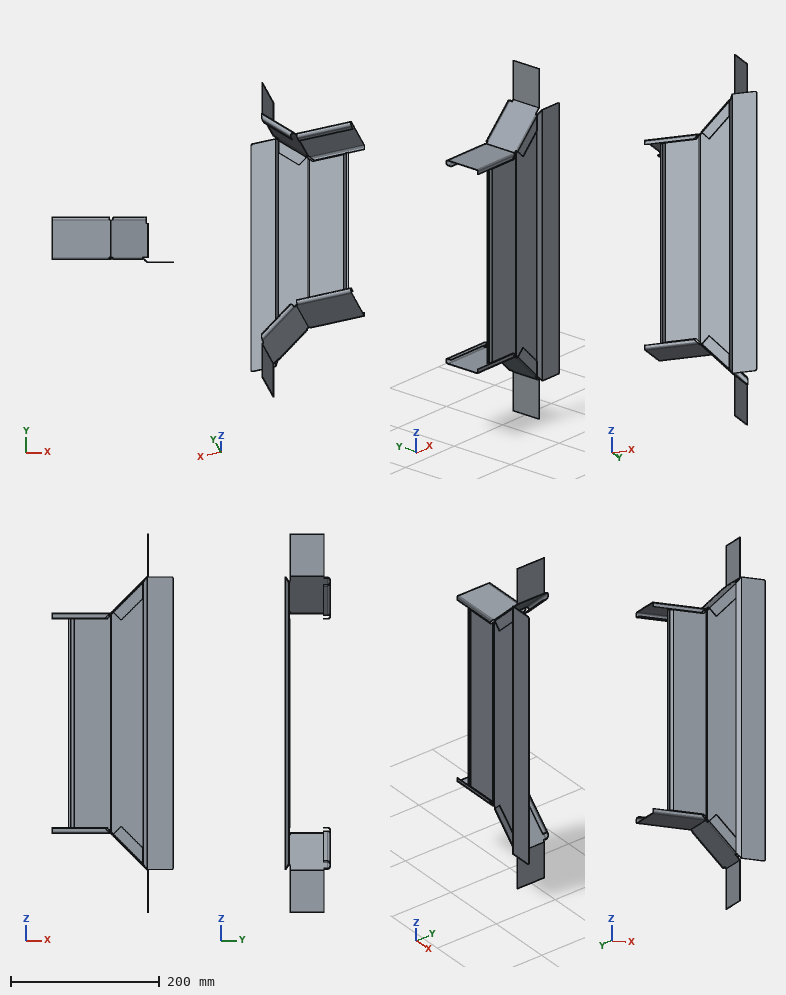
import cadquery as cq
import math

sheet = 1.0
total_height = 508.5
total_width = 163.0
total_depth = 61.5

leg_top_z = 148.0
leg_bend_x = -3.0
tab_x = 47.0
tab_near_y = 7.0
tab_far_y = 53.0
flange_bend_radius = 2.0
flat_flange_depth = 6.5
rising_flange_depth = 17.0
rising_flange_end_x = 40.0
rear_hem_end_x = 45.0
hem_diameter = 8.0
hem_return_y = 52.0
flat_lip_end_x = -4.5
lip_corner_chamfer = 5.5
rising_lip_start = 3.5

ledge_drop = 5.0
lip_step = 2.0
web_left_x = -59.5
lip_step_start_x = -56.5
lip_step_end_x = -52.0
joggle_length = 1.5
ramp_start_x = 40.5
web_ledge_x = 46.0
ledge_top_z = 196.5
ledge_corner_radius = 3.0
flange_gap = 1.0

left_x = -total_width / 2
right_x = total_width / 2
main_face_y = ledge_drop
flange_front_y = main_face_y - sheet
flange_bend_y = flange_front_y + flange_bend_radius
hem_radius = hem_diameter / 2
hem_bend_y = total_depth - hem_radius
tab_base_z = leg_top_z + tab_x - leg_bend_x


def offset_path(points, distance):
    """Offset an open polyline to its right-hand side, mitring each corner."""
    angles = [
        math.atan2(q[1] - p[1], q[0] - p[0]) for p, q in zip(points, points[1:])
    ]
    before = [angles[0]] + angles
    after = angles + [angles[-1]]
    moved = []
    for (x, y), a, b in zip(points, before, after):
        middle = (a + b) / 2
        reach = distance / math.cos((b - a) / 2)
        moved.append((x + reach * math.sin(middle), y - reach * math.cos(middle)))
    return moved


def sheet_outline(points, side):
    """Closed outline of a sheet whose one face follows the points."""
    return points + offset_path(points, side * sheet)[::-1]


def leg_section(plane, flange_depth):
    """Cross-section of a leg: front flange, plate and rolled rear hem.

    Across is Y; upward is measured from the outer face of the plate.
    """
    inner_bend = flange_bend_radius - sheet
    inner_hem = hem_radius - sheet
    diagonal = math.sqrt(0.5)
    return (
        cq.Workplane(plane)
        .moveTo(flange_front_y, -flange_depth)
        .lineTo(flange_front_y, -flange_bend_radius)
        .threePointArc(
            (
                flange_bend_y - flange_bend_radius * diagonal,
                -flange_bend_radius * (1 - diagonal),
            ),
            (flange_bend_y, 0),
        )
        .lineTo(hem_bend_y, 0)
        .threePointArc((total_depth, -hem_radius), (hem_bend_y, -hem_diameter))
        .lineTo(hem_return_y, -hem_diameter)
        .lineTo(hem_return_y, -hem_diameter + sheet)
        .lineTo(hem_bend_y, -hem_diameter + sheet)
        .threePointArc((hem_bend_y + inner_hem, -hem_radius), (hem_bend_y, -sheet))
        .lineTo(flange_bend_y, -sheet)
        .threePointArc(
            (
                flange_bend_y - inner_bend * diagonal,
                -flange_bend_radius + inner_bend * diagonal,
            ),
            (flange_front_y + sheet, -flange_bend_radius),
        )
        .lineTo(flange_front_y + sheet, -flange_depth)
        .close()
    )


def box_beyond(start_x, near_y, far_y):
    """Block of full height that reaches from start_x to the right end of the part."""
    return cq.Workplane("XY").box(
        right_x - start_x, far_y - near_y, total_height, centered=(False, False, True)
    ).translate((start_x, near_y, 0))


def make_flat_leg():
    plane = cq.Plane(origin=(left_x, 0, leg_top_z), xDir=(0, 1, 0), normal=(1, 0, 0))
    leg = leg_section(plane, flat_flange_depth).extrude(flat_lip_end_x - left_x)
    bottom_z = leg_top_z - flat_flange_depth
    corner = (
        cq.Workplane("XZ")
        .moveTo(flat_lip_end_x, bottom_z)
        .lineTo(flat_lip_end_x - lip_corner_chamfer, bottom_z)
        .lineTo(flat_lip_end_x, bottom_z + lip_corner_chamfer)
        .close()
        .extrude(-flange_bend_y)
    )
    return leg.cut(corner)


def make_rising_leg():
    start = rising_lip_start * math.sqrt(0.5)
    plane = cq.Plane(
        origin=(leg_bend_x + start, 0, leg_top_z + start), xDir=(0, 1, 0), normal=(1, 0, 1)
    )
    leg_length = (tab_x - leg_bend_x) * math.sqrt(2)
    leg = leg_section(plane, rising_flange_depth).extrude(leg_length - rising_lip_start)
    beyond_flange = box_beyond(rising_flange_end_x, 0, tab_near_y)
    beyond_hem = box_beyond(rear_hem_end_x, hem_return_y, total_depth)
    return leg.cut(beyond_flange).cut(beyond_hem)


def make_bracket():
    leg_path = [
        (flat_lip_end_x - lip_corner_chamfer, leg_top_z),
        (leg_bend_x, leg_top_z),
        (tab_x, tab_base_z),
        (tab_x, total_height / 2),
    ]
    strip = (
        cq.Workplane("XZ", origin=(0, tab_near_y, 0))
        .polyline(sheet_outline(leg_path, 1))
        .close()
        .extrude(tab_near_y - hem_bend_y)
    )
    strip = strip.cut(box_beyond(rear_hem_end_x, tab_far_y, total_depth))
    return strip.union(make_flat_leg()).union(make_rising_leg())


def make_web():
    front_path = [
        (web_left_x, flange_front_y + lip_step),
        (lip_step_start_x, flange_front_y + lip_step),
        (lip_step_end_x, flange_front_y),
        (leg_bend_x, flange_front_y),
        (leg_bend_x + joggle_length, main_face_y),
        (ramp_start_x, main_face_y),
        (web_ledge_x, 0),
        (right_x, 0),
    ]
    folded = (
        cq.Workplane("XY")
        .polyline(sheet_outline(front_path, -1))
        .close()
        .extrude(ledge_top_z, both=True)
    )
    left_edge_z = leg_top_z - flat_flange_depth - flange_gap
    bend_edge_z = leg_top_z - flange_bend_radius * math.sqrt(2)
    notch_x = leg_bend_x - (bend_edge_z - left_edge_z)
    ramp_edge_z = bend_edge_z + ramp_start_x - leg_bend_x
    upper = [
        (web_left_x, left_edge_z),
        (notch_x, left_edge_z),
        (ramp_start_x, ramp_edge_z),
        (web_ledge_x, ledge_top_z),
        (right_x, ledge_top_z),
    ]
    lower = [(x, -z) for x, z in reversed(upper)]
    blank = cq.Workplane("XZ").polyline(upper + lower).close().extrude(-total_depth)
    blank = blank.edges("|Y and >X").fillet(ledge_corner_radius)
    return folded.intersect(blank)


web = make_web()
upper_bracket = make_bracket()
brackets = [upper_bracket, upper_bracket.mirror("XY")]

result = cq.Compound.makeCompound(
    [web.solids().val()] + [bracket.solids().val() for bracket in brackets]
)